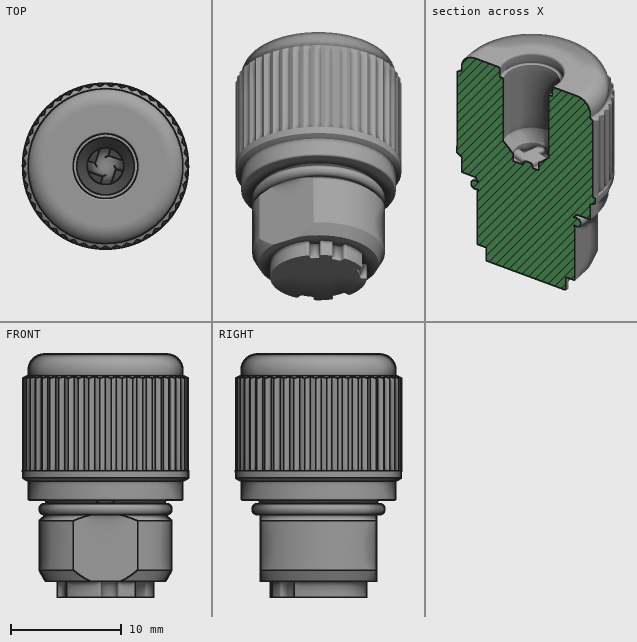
import cadquery as cq
import math

total_height = 22.0

insert_radius = 4.38
insert_core_radius = 3.75
insert_height = 1.45
insert_slot_fillet = 0.2
insert_slots = [
    (112.0, 125.0),
    (141.0, 155.7),
    (189.5, 215.5),
    (264.5, 285.0),
    (309.3, 328.7),
]

body_radius = 6.0
body_end_radius = 5.42
body_flat_offset = 5.25
body_lower_chamfer_top = 2.47
body_upper_chamfer_bottom = 6.93
body_top = 7.45

neck_bottom = 8.5
ring_section_radius = 0.5
ring_center_radius = body_radius - ring_section_radius
ring_center_z = (body_top + neck_bottom) / 2
ring_seat_radius = ring_center_radius - ring_section_radius / 2
neck_radius = 5.45
neck_lower_radius = 5.38
neck_flat_offset = 5.36

cap_bottom = 8.8
cap_radius = 7.0
cap_bottom_fillet = 0.15
cap_top_fillet = 1.5
grip_radius = 7.5
grip_bottom = 10.5
grip_lower_chamfer_height = 0.3
grip_upper_chamfer_height = 0.25
grip_top = 20.05
knurl_bottom = 11.45
knurl_count = 47
knurl_depth = 0.27
knurl_first_angle = 270.0

mouth_radius = 3.12
counterbore_radius = 2.92
mouth_round = mouth_radius - counterbore_radius
counterbore_depth = 1.05
bore_radius = 2.6
bore_depth = 8.0
wire_hole_radius = 1.65
cone_height = 1.0
cone_bottom = total_height - bore_depth - cone_height

rib_recess = 0.3
rib_top = cone_bottom - rib_recess
rib_angle = -18.5
rib_near_side = 0.33
rib_far_side = 0.7
rib_round = 0.28
rib_height = 0.5
rib_count = 4
pocket_reach = 4 * wire_hole_radius


def disc(radius, bottom, top):
    return cq.Workplane("XY").workplane(offset=bottom).circle(radius).extrude(top - bottom)


def turned(profile):
    """Solid of revolution about Z from (radius, z) points."""
    return cq.Workplane("XZ").polyline(profile).close().revolve(360, (0, 0), (0, 1))


def with_flats(solid, flat_offset):
    """Trim a solid to two flats facing -Y and +Y."""
    slab = cq.Workplane("XY").box(2 * total_height, 2 * flat_offset, 2 * total_height)
    return solid.intersect(slab)


def polar(radius, angle):
    """X and Y of a point at a radius and an angle in degrees about Z."""
    return (radius * math.cos(math.radians(angle)), radius * math.sin(math.radians(angle)))


def make_insert():
    insert = disc(insert_radius, 0, insert_height)
    core = disc(insert_core_radius, 0, insert_height)
    reach = 2 * insert_radius
    for start, end in insert_slots:
        middle = (start + end) / 2
        sector = (
            cq.Workplane("XY")
            .polyline([(0, 0), polar(reach, start), polar(reach, middle), polar(reach, end)])
            .close()
            .extrude(insert_height)
        )
        insert = insert.cut(sector.cut(core))
    return insert.edges("|Z").fillet(insert_slot_fillet)


def make_body():
    profile = [
        (0, insert_height),
        (body_end_radius, insert_height),
        (body_radius, body_lower_chamfer_top),
        (body_radius, body_upper_chamfer_bottom),
        (body_end_radius, body_top),
        (0, body_top),
    ]
    return with_flats(turned(profile), body_flat_offset)


def make_neck_and_ring():
    profile = [
        (0, body_top),
        (ring_seat_radius, body_top),
        (ring_seat_radius, neck_bottom),
        (neck_lower_radius, neck_bottom),
        (neck_radius, cap_bottom),
        (0, cap_bottom),
    ]
    neck = with_flats(turned(profile), neck_flat_offset)
    ring = (
        cq.Workplane("XZ")
        .center(ring_center_radius, ring_center_z)
        .circle(ring_section_radius)
        .revolve(360, (-ring_center_radius, 0), (-ring_center_radius, 1))
    )
    return neck.union(ring)


def make_cap():
    barrel = disc(cap_radius, cap_bottom, total_height)
    barrel = barrel.faces(">Z").edges().fillet(cap_top_fillet)
    barrel = barrel.faces("<Z").edges().fillet(cap_bottom_fillet)
    profile = [
        (0, grip_bottom),
        (cap_radius, grip_bottom),
        (grip_radius, grip_bottom + grip_lower_chamfer_height),
        (grip_radius, grip_top - grip_upper_chamfer_height),
        (cap_radius, grip_top),
        (0, grip_top),
    ]
    return barrel.union(turned(profile).cut(make_knurl_cutter()))


def make_knurl_cutter():
    """Ring of V-shaped teeth gaps that starts above a plain band on the grip."""
    pitch = 360 / knurl_count
    star = []
    for i in range(knurl_count):
        valley_angle = knurl_first_angle + i * pitch
        star.append(polar(grip_radius - knurl_depth, valley_angle))
        star.append(polar(grip_radius, valley_angle + pitch / 2))
    height = total_height - knurl_bottom
    plane = cq.Workplane("XY").workplane(offset=knurl_bottom)
    toothed = plane.polyline(star).close().extrude(height)
    return plane.circle(2 * grip_radius).extrude(height).cut(toothed)


def make_bore():
    bore_bottom = total_height - bore_depth
    profile = [
        (0, total_height),
        (counterbore_radius, total_height),
        (counterbore_radius, total_height - counterbore_depth),
        (bore_radius, total_height - counterbore_depth),
        (bore_radius, bore_bottom),
        (wire_hole_radius, cone_bottom),
        (wire_hole_radius, rib_top),
        (0, rib_top),
    ]
    mouth = (
        cq.Workplane("XZ")
        .moveTo(0, total_height)
        .lineTo(mouth_radius, total_height)
        .radiusArc((counterbore_radius, total_height - mouth_round), -mouth_round)
        .lineTo(0, total_height - mouth_round)
        .close()
        .revolve(360, (0, 0), (0, 1))
    )
    return turned(profile).union(mouth)


def make_space_beside_rib():
    """Space at y > 0 beside a rib running along X whose top edge is rounded."""
    return (
        cq.Workplane("YZ")
        .workplane(offset=-pocket_reach)
        .moveTo(0, rib_top)
        .radiusArc((rib_round, rib_top - rib_round), rib_round)
        .lineTo(rib_round, rib_top - rib_height)
        .lineTo(pocket_reach, rib_top - rib_height)
        .lineTo(pocket_reach, rib_top)
        .close()
        .extrude(2 * pocket_reach)
    )


def make_divider_pockets():
    above_rib = make_space_beside_rib()
    right_of_rib = above_rib.rotate((0, 0, 0), (0, 0, 1), -90)
    pocket = above_rib.intersect(right_of_rib).translate((-rib_near_side, rib_far_side, 0))
    well = disc(wire_hole_radius, rib_top - rib_height, rib_top)
    pockets = cq.Workplane("XY")
    for i in range(rib_count):
        quarter = pocket.rotate((0, 0, 0), (0, 0, 1), rib_angle + i * 360 / rib_count)
        pockets = pockets.add(quarter.intersect(well))
    return pockets.combine()


result = make_insert().union(make_body()).union(make_neck_and_ring()).union(make_cap())
result = result.cut(make_bore()).cut(make_divider_pockets())